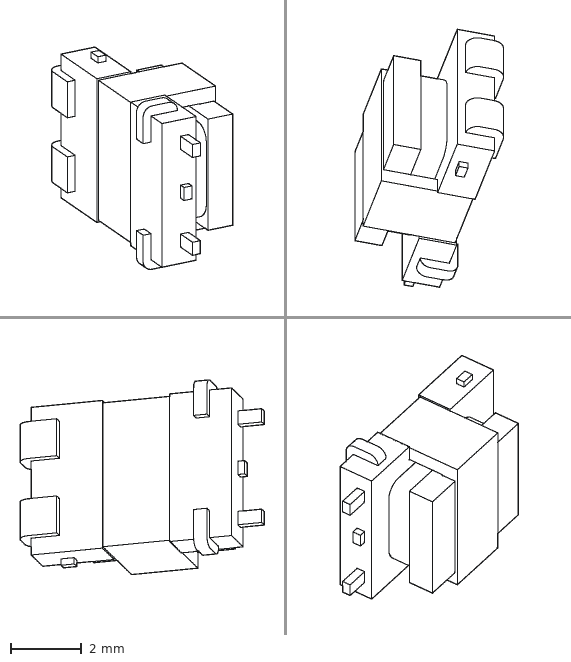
import cadquery as cq


block_left, block_right = 0.34, 6.29
block_front, block_back = 0.25, 1.35
block_height = 4.395
flange_left, flange_right = 1.36, 5.56
flange_front, flange_back = 2.14, 2.94
flange_height = 3.4
winding_left, winding_right = 1.4, 5.495
winding_front, winding_back = 1.345, 2.15
winding_height = 2.885
winding_corner = 0.5
winding_edge_round = 0.07

core_left, core_right = 2.46, 4.43
core_front, core_back = 0.3, 3.0
core_height = 4.285
core_wall = 0.51
slot_clearance = 0.02

contact_back = 1.105
terminal_fold_end = 1.18
terminal_corner = 0.35
terminal_width = 1.1
terminal_spacing = 2.295
lead_left, lead_right = 5.24, 5.64
lead_height = 5.0
lead_fold_end = 1.4
lead_corner = 0.295

pin_width = 0.4
pin_thickness = 0.26
long_pin_tip = 7.0
long_pin_spacing = 2.99
short_pin_tip = 6.495
side_pin_left = 1.035
side_pin_span = 4.775


def box(x_range, y_range, z_range):
    """Box filling the given (low, high) ranges."""
    ranges = (x_range, y_range, z_range)
    size = [high - low for low, high in ranges]
    corner = tuple(low for low, high in ranges)
    return cq.Workplane("XY").box(*size, centered=False).translate(corner)


def centred(length, middle=0):
    """(low, high) range of the given length around a middle."""
    return (middle - length / 2, middle + length / 2)


def make_bobbin():
    front_flange = box((block_left, block_right), (block_front, block_back), centred(block_height))
    back_flange = box((flange_left, flange_right), (flange_front, flange_back), centred(flange_height))
    winding = box((winding_left, winding_right), (winding_front, winding_back), centred(winding_height))
    winding = winding.edges("|Y").fillet(winding_corner)
    winding = winding.faces("<Y or >Y").edges().fillet(winding_edge_round)
    return front_flange.union(winding).union(back_flange)


def make_core_parts():
    """Return the core ring and the slot it sits in, which has a clearance on the right."""
    window_y = (core_front + core_wall, core_back - core_wall)
    window = box((block_left, block_right), window_y, centred(flange_height))
    ring = box((core_left, core_right), (core_front, core_back), centred(core_height)).cut(window)
    slot = box((core_left, core_right + slot_clearance), (0, core_back), centred(block_height)).cut(window)
    return ring, slot


def make_terminal(z_middle):
    """Rounded plate that wraps the left end and folds onto the front face."""
    side = box((0, terminal_fold_end), (0, contact_back), centred(terminal_width, z_middle))
    side = side.edges("|Z and <X").fillet(terminal_corner)
    behind_fold = box(
        (block_left + terminal_corner, terminal_fold_end),
        (block_front, contact_back),
        centred(terminal_width, z_middle),
    )
    return side.cut(behind_fold)


def make_lead():
    """Strip at the top that folds onto the front face."""
    lead = box((lead_left, lead_right), (0, contact_back), (lead_fold_end, lead_height / 2))
    return lead.edges("|X and >Z").fillet(lead_corner)


def make_pins():
    pin_layer = (contact_back - pin_thickness, contact_back)
    side_pins = box((side_pin_left, side_pin_left + pin_width), pin_layer, centred(side_pin_span))
    pins = side_pins.union(box((lead_right, short_pin_tip), pin_layer, centred(pin_width)))
    for side in (-1, 1):
        z_range = centred(pin_width, side * long_pin_spacing / 2)
        pins = pins.union(box((lead_right, long_pin_tip), pin_layer, z_range))
    return pins


core, core_slot = make_core_parts()
result = make_bobbin().cut(core_slot).union(core).union(make_pins())
for side in (-1, 1):
    result = result.union(make_terminal(side * terminal_spacing / 2))

top_lead = make_lead()
result = result.union(top_lead).union(top_lead.mirror("XY"))